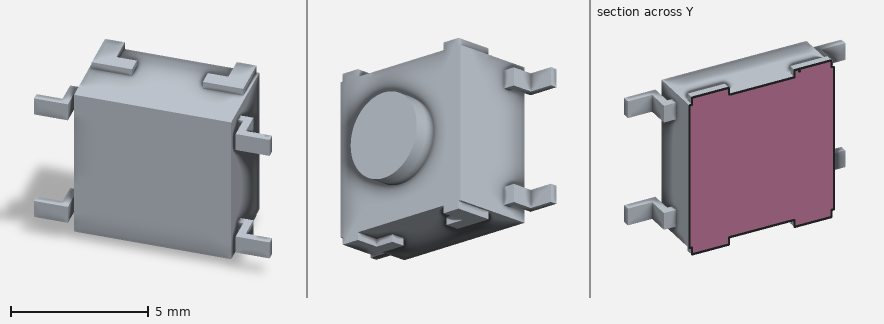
import cadquery as cq

overall_width = 9.0
overall_depth = 4.4
overall_height = 6.6

body_side = 6.0
body_depth = 3.4
sole_clearance = 0.1
body_back = sole_clearance + body_depth

button_diameter = 3.3
button_length = overall_depth - body_back

clip_thickness = (overall_height - body_side) / 2
clip_inset = 0.11
clip_width = 1.54
clip_stem_width = 0.76
clip_length = 1.6
clip_toe_length = 0.59

lead_thickness = 0.3
lead_width = 0.7
lead_rise = 1.21
lead_foot_length = 1.0
lead_center_z = 2.25


def make_body():
    return cq.Workplane("XY").box(body_side, body_depth, body_side).translate(
        (0, sole_clearance + body_depth / 2, 0)
    )


def make_button():
    return (
        cq.Workplane("XZ", origin=(0, body_back, 0))
        .circle(button_diameter / 2)
        .extrude(-button_length)
    )


def make_clip():
    """Clip at the -X end of the upper face, with its toe pointing inward."""
    outer_x = -body_side / 2 + clip_inset
    stem_x = outer_x + clip_stem_width
    toe_x = outer_x + clip_width
    front_y = body_back - clip_length
    toe_y = front_y + clip_toe_length
    return (
        cq.Workplane("XY", origin=(0, 0, body_side / 2))
        .polyline([
            (outer_x, body_back),
            (stem_x, body_back),
            (stem_x, toe_y),
            (toe_x, toe_y),
            (toe_x, front_y),
            (outer_x, front_y),
        ])
        .close()
        .extrude(clip_thickness)
    )


def make_lead():
    """Lead on the -X side of the housing, at the upper position."""
    tip_x = -overall_width / 2
    riser_outer_x = tip_x + lead_foot_length
    riser_inner_x = riser_outer_x + lead_thickness
    root_x = -body_side / 2
    return (
        cq.Workplane("XY", origin=(0, 0, lead_center_z))
        .polyline([
            (tip_x, 0),
            (riser_inner_x, 0),
            (riser_inner_x, lead_rise - lead_thickness),
            (root_x, lead_rise - lead_thickness),
            (root_x, lead_rise),
            (riser_outer_x, lead_rise),
            (riser_outer_x, lead_thickness),
            (tip_x, lead_thickness),
        ])
        .close()
        .extrude(lead_width / 2, both=True)
    )


def mirror_to_four(corner):
    """Repeat a corner feature symmetrically about the YZ and XY planes."""
    pair = corner.union(corner.mirror("YZ"))
    return pair.union(pair.mirror("XY"))


result = (
    make_body()
    .union(make_button())
    .union(mirror_to_four(make_clip()))
    .union(mirror_to_four(make_lead()))
)